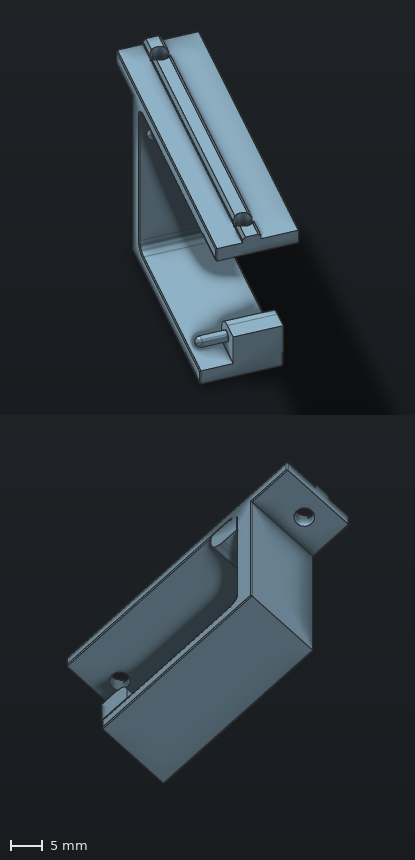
import cadquery as cq

length = 49.5
depth = 14.0
height = 37.0
rail_height = 1.1
plate_top = height - rail_height
plate_thickness = 2.8
plate_bottom = plate_top - plate_thickness
underside_step = 0.15
inner_top = plate_bottom + underside_step
shelf_thickness = 2.8
post_left = 8.0
post_right = 11.3
shelf_right = 41.55
inner_radius = 1.9
edge_chamfer = 0.2

rail_width = 3.1
rail_chamfer = 0.5
rail_y = 6.05
hole_diameter = 3.2
hole_inset = 4.05

block_size = 5.7
block_length = 8.4
block_radius = 2.8
block_front = depth - block_length
pin_diameter = 1.9
pin_inset = 2.48
pin_tip_y = 0.3


def extrude_back(outline, front, back):
    """Extrude an XZ outline from y = front to y = back."""
    return outline.extrude(front - back).translate((0, front, 0))


def make_frame():
    outline = cq.Workplane("XZ").polyline([
        (0, plate_top),
        (length, plate_top),
        (length, inner_top),
        (post_right, inner_top),
        (post_right, shelf_thickness),
        (shelf_right, shelf_thickness),
        (shelf_right, 0),
        (post_left, 0),
        (post_left, plate_bottom),
        (0, plate_bottom),
    ]).close()
    frame = extrude_back(outline, 0, depth)
    for corner_z in (inner_top, shelf_thickness):
        corner = cq.selectors.NearestToPointSelector((post_right, depth / 2, corner_z))
        frame = frame.edges("|Y").edges(corner).fillet(inner_radius)
    return frame.faces("<Y or >Y").edges().chamfer(edge_chamfer)


def make_rail():
    rail = cq.Workplane("XY").box(length, rail_width, rail_height, centered=(False, True, False))
    rail = rail.faces(">Z").edges("|X").chamfer(rail_chamfer)
    return rail.translate((0, rail_y, plate_top))


def make_pin_block(corner_x, corner_z, side_x, side_z):
    """Block and pin; the block grows from its square corner along the two side signs.

    The corner diagonally opposite is rounded, and the pin is set in from the rounded sides.
    """
    far_x = corner_x + side_x * block_size
    far_z = corner_z + side_z * block_size
    center = ((corner_x + far_x) / 2, (corner_z + far_z) / 2)
    outline = cq.Workplane("XZ").center(*center).rect(block_size, block_size)
    block = extrude_back(outline, block_front, depth)
    rounded_corner = cq.selectors.NearestToPointSelector((far_x, depth - block_length / 2, far_z))
    block = block.edges("|Y").edges(rounded_corner).fillet(block_radius)

    pin_x = far_x - side_x * pin_inset
    pin_z = far_z - side_z * pin_inset
    nose_y = pin_tip_y + pin_diameter / 2
    pin_outline = cq.Workplane("XZ").center(pin_x, pin_z).circle(pin_diameter / 2)
    pin = extrude_back(pin_outline, nose_y, block_front + pin_diameter)
    nose = cq.Workplane("XY").sphere(pin_diameter / 2).translate((pin_x, nose_y, pin_z))
    return block.union(pin).union(nose)


upper_block = make_pin_block(post_right, inner_top, 1, -1)
lower_block = make_pin_block(shelf_right, shelf_thickness, -1, 1)
holes = (
    cq.Workplane("XY", origin=(0, rail_y, plate_bottom))
    .pushPoints([(hole_inset, 0), (length - hole_inset, 0)])
    .circle(hole_diameter / 2)
    .extrude(height - plate_bottom)
)
result = make_frame().union(make_rail()).union(upper_block).union(lower_block).cut(holes)